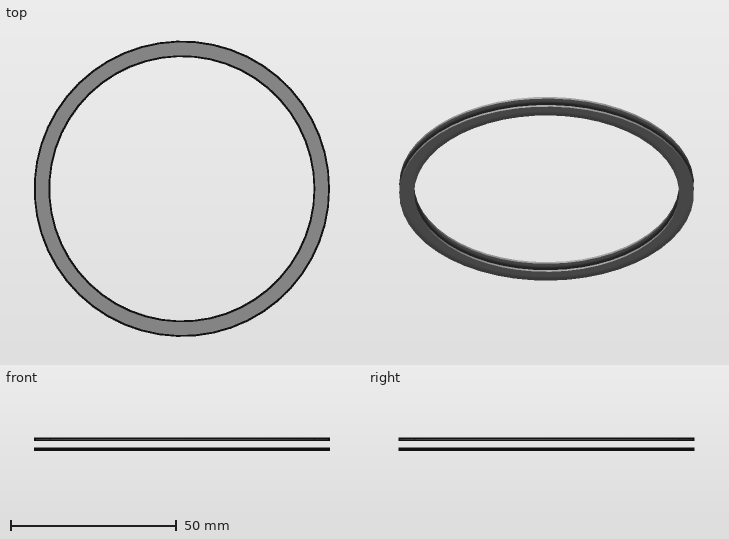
import cadquery as cq

outer_diameter = 88.8
inner_diameter = 79.8
ring_thickness = 0.6
stack_height = 3.6

upper_ring_base = stack_height / 2 - ring_thickness
lower_ring_base = -stack_height / 2


def make_ring(base_height):
    """Flat ring whose underside lies at base_height."""
    return (
        cq.Workplane("XY")
        .workplane(offset=base_height)
        .circle(outer_diameter / 2)
        .circle(inner_diameter / 2)
        .extrude(ring_thickness)
    )


rings = [make_ring(base_height) for base_height in (lower_ring_base, upper_ring_base)]

result = cq.Compound.makeCompound([ring.val() for ring in rings])